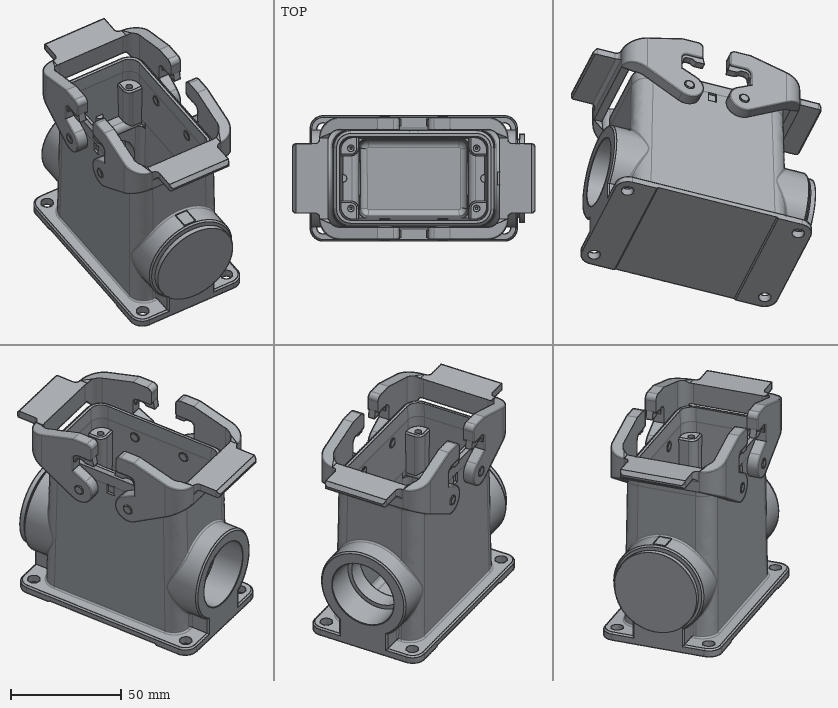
import cadquery as cq
import math

SIDES = (-1, 1)
PICK = 0.1

PLATE_LENGTH, PLATE_WIDTH, PLATE_HEIGHT = 94.0, 57.0, 3.8
PLATE_CORNER = 6.0
EDGE = 0.8
RELIEF_LENGTH, RELIEF_DEPTH = 58.5, 0.7
MOUNT_DIAMETER = 5.6
MOUNT_X, MOUNT_Y = 41.1, 22.3

WALL_FOOT = (37.7, 22.4)
WALL_TOP = (36.3, 21.7)
WALL_CORNER = 7.7
BAND_Z = 74.9
RIM_Z = 82.0
RIM_CHAMFER = 1.3
NOTCH_WIDTH, NOTCH_HEIGHT, NOTCH_DEPTH = 3.7, 4.8, 1.1

MOUTH = (33.7, 19.0)
MOUTH_AT_BAND = (33.2, 18.6)
LEDGE_OPENING = (32.1, 18.0)
MOUTH_CORNER = 5.5
LEDGE_Z = 49.5
LEDGE_ROUND = 3.1
POCKET_TOP = (24.9, 18.0)
POCKET_FLOOR = (24.0, 16.9)
POCKET_CORNER = 3.3
FLOOR_Z = 4.4
FLOOR_ROUND = 3.0
POST_X, POST_Y, POST_TOP_Z = 28.5, 13.6, 69.6
POST_RADIUS = 3.4
SCREW_DIAMETER, SCREW_DEPTH = 3.0, 8.8
DRILL_POINT = 1.0
RIB_RADIUS, RIB_TOP_Z = 1.8, 55.0

PORT_Z = 29.9
COLLAR_RADIUS = 22.0
WEB_WIDTH = 25.1
BORE_DIAMETER = 32.0
BORE_MOUTH_CHAMFER = 0.2
BORE_STEP_X = 32.5
THROAT_DIAMETER = 28.0
PAD_X, PAD_LENGTH, PAD_WIDTH, PAD_RISE = 42.0, 7.9, 5.9, 0.3

NECK_DIAMETER, NECK_LENGTH = 35.5, 1.0
FLANGE_DIAMETER, FLANGE_THICKNESS = 40.0, 2.3

PIVOT_X, PIVOT_Z = 13.2, 70.8
LEVER_REACH = 42.7
LEVER_OUTER_Y, LEVER_INNER_Y = 27.6, 22.2
BAR_THICKNESS = 3.7
BEND_OUTER, BEND_INNER = 9.2, 5.5
LEVER_EDGE = 0.4
EYE_RADIUS = 6.8
HOOK_TIP_X, HOOK_TOP_Z, HOOK_BOTTOM_Z = 6.5, 98.8, 89.8
HOOK_SLOPE_X = 16.4
HOOK_CORNER = 2.6
HOOK_LOWER_CORNER = 1.1
SLOT_X, SLOT_BOTTOM_Z, SLOT_CORNER = 16.6, 80.4, 2.8
EYE_TOP_ANGLE, EYE_BOTTOM_ANGLE = 60, 239
LIP_INNER_Y, LIP_OUTER_Y = 23.6, 26.8
LIP_SLOT_X, LIP_TIP_X = 15.8, 5.7
LIP_FOOT_Z, LIP_BEND_Z = 85.1, 86.1
LIP_ROOF_Z, LIP_ROOF_X, LIP_ROOF_CORNER = 88.1, 12.3, 2.0
LIP_NOSE_Z, LIP_NOSE_X = 86.8, 9.5
TAB_TIP_X, TAB_HALF_WIDTH, TAB_TOP_Z, TAB_BOTTOM_Z = 55.0, 15.7, 91.1, 87.5
TAB_NOSE_TOP_Z, TAB_NOSE_BOTTOM_Z = 89.1, 88.2
TAB_TOP_X, TAB_BOTTOM_X = 53.5, 54.3
TAB_CORNER, TAB_ROOT, TAB_UNDER = 1.6, 2.2, 1.8

PIN_DIAMETER, PIN_TIP_DIAMETER = 4.8, 4.0
PIN_OUTER_Y, PIN_INNER_Y = 28.0, 18.2
BOSS_DIAMETER = 7.0

PLATE_END = PLATE_LENGTH / 2
PIN_CHAMFER = (PIN_DIAMETER - PIN_TIP_DIAMETER) / 2


def rounded_prism(foot, top, z_foot, z_top, corner):
    """Solid between two rounded rectangles, given by half sizes, at two heights."""
    lower = cq.Sketch().rect(2 * foot[0], 2 * foot[1]).vertices().fillet(corner)
    upper = cq.Sketch().rect(2 * top[0], 2 * top[1]).vertices().fillet(corner)
    return (
        cq.Workplane("XY", origin=(0, 0, z_foot))
        .placeSketch(lower, upper.moved(cq.Location(cq.Vector(0, 0, z_top - z_foot))))
        .loft(ruled=True)
    )


def x_cylinder(diameter, x_start, x_end):
    """Cylinder on the cable entry axis."""
    return (
        cq.Workplane("YZ", origin=(x_start, 0, PORT_Z))
        .circle(diameter / 2)
        .extrude(x_end - x_start)
    )


def y_cylinder(x, diameter, y_start, y_end):
    """Cylinder on a lever pivot axis."""
    return (
        cq.Workplane("XZ", origin=(x, y_start, PIVOT_Z))
        .circle(diameter / 2)
        .extrude(y_start - y_end)
    )


def gathered(shapes):
    """One workplane that holds the solids of several."""
    return cq.Workplane().newObject([solid for shape in shapes for solid in shape.solids().vals()])


def four_corners(x, y):
    return [(sx * x, sy * y) for sx in SIDES for sy in SIDES]


def base_plate():
    plate = (
        cq.Workplane("XY")
        .box(PLATE_LENGTH, PLATE_WIDTH, PLATE_HEIGHT, centered=(True, True, False))
        .edges("|Z").fillet(PLATE_CORNER)
        .faces(">Z").edges().chamfer(EDGE)
    )
    relief = (
        cq.Workplane("XZ")
        .polyline([
            (-RELIEF_LENGTH / 2, 0),
            (-RELIEF_LENGTH / 2 + RELIEF_DEPTH, RELIEF_DEPTH),
            (RELIEF_LENGTH / 2 - RELIEF_DEPTH, RELIEF_DEPTH),
            (RELIEF_LENGTH / 2, 0),
        ])
        .close()
        .extrude(PLATE_WIDTH / 2, both=True)
    )
    return plate.cut(relief)


def outer_wall():
    drafted = rounded_prism(WALL_FOOT, WALL_TOP, RELIEF_DEPTH, BAND_Z, WALL_CORNER)
    band = rounded_prism(WALL_TOP, WALL_TOP, BAND_Z, RIM_Z, WALL_CORNER)
    return drafted.union(band.faces(">Z").edges().chamfer(RIM_CHAMFER))


def cable_collar(side):
    """Round collar and the web that carries it down to the plate."""
    depth = PLATE_END - LEDGE_OPENING[0] + LEDGE_ROUND
    plane = cq.Plane(origin=(side * (PLATE_END - depth), 0, 0), xDir=(0, side, 0), normal=(side, 0, 0))
    web_bottom = PLATE_HEIGHT - EDGE
    web = (
        cq.Workplane(plane)
        .center(0, (web_bottom + PORT_Z) / 2)
        .rect(WEB_WIDTH, PORT_Z - web_bottom)
        .extrude(depth)
    )
    collar = cq.Workplane(plane).center(0, PORT_Z).circle(COLLAR_RADIUS).extrude(depth)
    return (
        collar.union(web)
        .faces(">X" if side > 0 else "<X").edges("not <Z").chamfer(EDGE)
    )


def cavity():
    """Free space inside the wall: the mouth, the part above the ledges and the pocket."""
    mouth = rounded_prism(MOUTH_AT_BAND, MOUTH, BAND_Z, RIM_Z, MOUTH_CORNER)
    middle = rounded_prism(LEDGE_OPENING, MOUTH_AT_BAND, LEDGE_Z, BAND_Z, MOUTH_CORNER)
    pocket = (
        rounded_prism(POCKET_FLOOR, POCKET_TOP, FLOOR_Z, LEDGE_Z, POCKET_CORNER)
        .faces("<Z").edges().fillet(FLOOR_ROUND)
    )
    space = mouth.union(middle).union(pocket)
    for side in SIDES:
        space = space.union(ledge_rounding(side))
    return space


def ledge_rounding(side):
    """Space that rounds the inner edge of a ledge."""
    edge_x = POCKET_TOP[0]
    round_space = (
        cq.Workplane("XZ")
        .moveTo(edge_x + LEDGE_ROUND, LEDGE_Z)
        .radiusArc((edge_x, LEDGE_Z - LEDGE_ROUND), -LEDGE_ROUND)
        .lineTo(edge_x - LEDGE_ROUND, LEDGE_Z - LEDGE_ROUND)
        .lineTo(edge_x - LEDGE_ROUND, LEDGE_Z)
        .close()
        .extrude(POCKET_TOP[1], both=True)
    )
    return round_space if side > 0 else round_space.mirror("YZ")


def screw_post(x_side, y_side):
    """Corner post for a contact insert screw, merged into both walls."""
    bottom_z = LEDGE_Z - LEDGE_ROUND
    inner_x, inner_y = POST_X - POST_RADIUS, POST_Y - POST_RADIUS
    post = (
        cq.Workplane("XY", origin=(0, 0, bottom_z))
        .rect(MOUTH[0] + EDGE - inner_x, MOUTH[1] + EDGE - inner_y, centered=False)
        .extrude(POST_TOP_Z - bottom_z)
        .edges("|Z and <X and <Y").fillet(POST_RADIUS)
        .edges("|Z and >X and >Y").fillet(MOUTH_CORNER)
        .faces(">Z").edges().chamfer(EDGE)
        .translate((inner_x, inner_y, 0))
    )
    if x_side < 0:
        post = post.mirror("YZ")
    return post if y_side > 0 else post.mirror("XZ")


def blend_casting(body):
    """Blends the wall into the plate, the collars and their webs."""
    reach_x, reach_y = WALL_FOOT
    web_y = WEB_WIDTH / 2 + PICK
    low, high = PLATE_HEIGHT - PICK, PORT_Z + COLLAR_RADIUS + PICK
    foot_edges = cq.selectors.BoxSelector(
        (-reach_x, -reach_y, low), (reach_x, reach_y, PLATE_HEIGHT + PICK), boundingbox=True
    )
    collar_edges = cq.selectors.BoxSelector(
        (-reach_x, -reach_y, PLATE_HEIGHT + PICK), (reach_x, reach_y, high), boundingbox=True
    )
    web_edges = cq.selectors.BoxSelector((-reach_x, -web_y, low), (reach_x, web_y, high), boundingbox=True)
    return body.edges(foot_edges + collar_edges + web_edges).fillet(EDGE)


def pivot_bosses():
    """Spacer bosses between the wall and the lever eyes."""
    return gathered([
        y_cylinder(x * PIVOT_X, BOSS_DIAMETER, y * MOUTH[1], y * LEVER_INNER_Y)
        for x, y in four_corners(1, 1)
    ])


def pivot_holes():
    return gathered([
        y_cylinder(x * PIVOT_X, PIN_DIAMETER, y * PIN_INNER_Y, y * PIN_OUTER_Y)
        for x, y in four_corners(1, 1)
    ])


def wall_notches():
    """Recesses below the rim band in the middle of both long walls."""
    return (
        cq.Workplane("XY", origin=(0, 0, BAND_Z - NOTCH_HEIGHT / 2))
        .pushPoints([(0, side * WALL_TOP[1]) for side in SIDES])
        .box(NOTCH_WIDTH, 2 * NOTCH_DEPTH, NOTCH_HEIGHT)
    )


def ledge_ribs():
    """Half-round ribs standing on the ledges against the end walls."""
    return (
        cq.Workplane("XY", origin=(0, 0, LEDGE_Z))
        .pushPoints([(side * LEDGE_OPENING[0], 0) for side in SIDES])
        .circle(RIB_RADIUS)
        .extrude(RIB_TOP_Z - LEDGE_Z)
    )


def screw_holes():
    return (
        cq.Workplane("XY", origin=(0, 0, POST_TOP_Z - SCREW_DEPTH))
        .pushPoints(four_corners(POST_X, POST_Y))
        .circle(SCREW_DIAMETER / 2)
        .extrude(SCREW_DEPTH)
        .faces("<Z").edges().chamfer(DRILL_POINT)
    )


def mounting_holes():
    return (
        cq.Workplane("XY")
        .pushPoints(four_corners(MOUNT_X, MOUNT_Y))
        .circle(MOUNT_DIAMETER / 2)
        .extrude(PLATE_HEIGHT)
    )


def entry_bore(side):
    """Stepped bore from a collar into the pocket."""
    throat = x_cylinder(THROAT_DIAMETER, 0, side * PLATE_END)
    return throat.union(x_cylinder(BORE_DIAMETER, side * BORE_STEP_X, side * PLATE_END))


def bore_mouth_edge():
    """Picks the rim of the open bore on the -X end."""
    reach = BORE_DIAMETER / 2 + PICK
    return cq.selectors.BoxSelector(
        (-PLATE_END - PICK, -reach, PORT_Z - reach),
        (-PLATE_END + PICK, reach, PORT_Z + reach),
        boundingbox=True,
    )


def collar_pad():
    """Low flat pad on top of the +X collar."""
    return cq.Workplane(origin=(PAD_X, 0, PORT_Z + COLLAR_RADIUS)).box(PAD_LENGTH, PAD_WIDTH, 2 * PAD_RISE)


def make_housing():
    body = outer_wall().union(gathered([cable_collar(side) for side in SIDES])).union(base_plate())
    body = blend_casting(body)
    body = body.union(gathered([pivot_bosses(), collar_pad()]))
    body = body.cut(gathered([cavity(), wall_notches()]))
    body = body.union(gathered([screw_post(x, y) for x, y in four_corners(1, 1)] + [ledge_ribs()]))
    bores = [entry_bore(side) for side in SIDES]
    body = body.cut(gathered([screw_holes(), mounting_holes(), pivot_holes(), *bores]))
    return body.edges(bore_mouth_edge()).chamfer(BORE_MOUTH_CHAMFER)


def make_plug():
    flange_start = PLATE_END + NECK_LENGTH
    shank = x_cylinder(BORE_DIAMETER, BORE_STEP_X, PLATE_END)
    neck = x_cylinder(NECK_DIAMETER, PLATE_END, flange_start)
    flange = x_cylinder(FLANGE_DIAMETER, flange_start, flange_start + FLANGE_THICKNESS)
    return shank.union(neck).union(flange)


def eye_point(angle):
    return (
        -PIVOT_X + EYE_RADIUS * math.cos(math.radians(angle)),
        PIVOT_Z + EYE_RADIUS * math.sin(math.radians(angle)),
    )


TOP_SLOPE = (HOOK_TOP_Z - TAB_TOP_Z) / (LEVER_REACH - HOOK_SLOPE_X)
BOTTOM_SLOPE = math.tan(math.radians(270 - EYE_BOTTOM_ANGLE))
BAR_BOTTOM_Z = eye_point(EYE_BOTTOM_ANGLE)[1] + (LEVER_REACH + eye_point(EYE_BOTTOM_ANGLE)[0]) * BOTTOM_SLOPE


def bend_trim(bar_z, slope):
    """Space beyond the level edge of the cross bar, rising or falling with the arms in the bends."""
    bar_half = LEVER_OUTER_Y - BEND_OUTER
    arm_y = LEVER_INNER_Y
    bend_end_z = bar_z + slope * BEND_OUTER
    far_z = bar_z + math.copysign(HOOK_TOP_Z - PIVOT_Z, slope)
    return (
        cq.Workplane("YZ", origin=(-LEVER_REACH, 0, 0))
        .polyline([
            (-bar_half, bar_z), (bar_half, bar_z), (arm_y, bend_end_z),
            (arm_y, far_z), (-arm_y, far_z), (-arm_y, bend_end_z),
        ])
        .close()
        .extrude(BEND_OUTER)
    )


def lever_side_shape():
    """Side outline of the hook, the pivot eye and the arm, through the full width."""
    bottom_tangent = eye_point(EYE_BOTTOM_ANGLE)
    slab = (
        cq.Workplane("XZ")
        .moveTo(-LEVER_REACH, TAB_TOP_Z)
        .lineTo(-HOOK_SLOPE_X, HOOK_TOP_Z)
        .lineTo(-HOOK_TIP_X, HOOK_TOP_Z)
        .lineTo(-HOOK_TIP_X, HOOK_BOTTOM_Z)
        .lineTo(-SLOT_X, HOOK_BOTTOM_Z)
        .lineTo(-SLOT_X, SLOT_BOTTOM_Z)
        .lineTo(*eye_point(EYE_TOP_ANGLE))
        .threePointArc(eye_point((EYE_TOP_ANGLE + EYE_BOTTOM_ANGLE) / 2 - 180), bottom_tangent)
        .lineTo(-LEVER_REACH, BAR_BOTTOM_Z)
        .close()
        .extrude(LEVER_OUTER_Y, both=True)
    )

    def corner(x, z):
        return cq.selectors.BoxSelector(
            (-x - PICK, -LEVER_OUTER_Y - PICK, z - PICK), (-x + PICK, LEVER_OUTER_Y + PICK, z + PICK)
        )

    slab = slab.edges(corner(HOOK_TIP_X, HOOK_TOP_Z)).fillet(HOOK_CORNER)
    slab = slab.edges(corner(HOOK_TIP_X, HOOK_BOTTOM_Z)).fillet(HOOK_LOWER_CORNER)
    return slab.edges(corner(SLOT_X, HOOK_BOTTOM_Z)).fillet(SLOT_CORNER)


def lever_plan_shape():
    """U shape of the two arms and the cross bar, tall enough to be trimmed by the side outline."""
    outer = (
        cq.Workplane("XY")
        .rect(LEVER_REACH, 2 * LEVER_OUTER_Y)
        .extrude(HOOK_TOP_Z)
        .edges("|Z and <X").fillet(BEND_OUTER)
    )
    inner = (
        cq.Workplane("XY")
        .rect(LEVER_REACH, 2 * LEVER_INNER_Y)
        .extrude(HOOK_TOP_Z)
        .edges("|Z and <X").fillet(BEND_INNER)
        .translate((BAR_THICKNESS, 0, 0))
    )
    return outer.cut(inner).translate((-LEVER_REACH / 2, 0, 0))


def hook_lips():
    """Thin cam lips below the hooks, set back from both faces of each arm."""
    top_z = HOOK_BOTTOM_Z + HOOK_LOWER_CORNER
    buried_x = -SLOT_X - HOOK_LOWER_CORNER
    outline = (
        cq.Workplane("XZ")
        .moveTo(buried_x, LIP_FOOT_Z)
        .lineTo(-LIP_SLOT_X, LIP_FOOT_Z)
        .lineTo(-LIP_SLOT_X, LIP_BEND_Z)
        .radiusArc((-LIP_SLOT_X + LIP_ROOF_CORNER, LIP_ROOF_Z), LIP_ROOF_CORNER)
        .lineTo(-LIP_ROOF_X, LIP_ROOF_Z)
        .spline([(-LIP_NOSE_X, LIP_NOSE_Z)], tangents=[(1, 0), (1, 0)], includeCurrent=True)
        .lineTo(-LIP_TIP_X, LIP_NOSE_Z)
        .lineTo(-HOOK_TIP_X, top_z)
        .lineTo(buried_x, top_z)
        .close()
    )
    lip = outline.extrude(-(LIP_OUTER_Y - LIP_INNER_Y)).translate((0, LIP_INNER_Y, 0))
    return lip.union(lip.mirror("XZ"))


def handle_tab():
    """Flat grip that sticks out of the cross bar, with its nose and root blends."""
    nose = (
        cq.Workplane("XZ")
        .moveTo(-LEVER_REACH - TAB_UNDER, TAB_BOTTOM_Z)
        .lineTo(-TAB_BOTTOM_X, TAB_BOTTOM_Z)
        .lineTo(-TAB_TIP_X, TAB_NOSE_BOTTOM_Z)
        .lineTo(-TAB_TIP_X, TAB_NOSE_TOP_Z)
        .lineTo(-TAB_TOP_X, TAB_TOP_Z)
        .lineTo(-LEVER_REACH + LEVER_EDGE, TAB_TOP_Z)
        .lineTo(-LEVER_REACH + LEVER_EDGE, TAB_BOTTOM_Z - TAB_UNDER)
        .lineTo(-LEVER_REACH, TAB_BOTTOM_Z - TAB_UNDER)
        .radiusArc((-LEVER_REACH - TAB_UNDER, TAB_BOTTOM_Z), -TAB_UNDER)
        .close()
        .extrude(TAB_HALF_WIDTH + TAB_ROOT, both=True)
    )
    half = TAB_HALF_WIDTH
    root_x = -LEVER_REACH - TAB_ROOT
    plan = (
        cq.Workplane("XY", origin=(0, 0, TAB_BOTTOM_Z - TAB_UNDER))
        .moveTo(-LEVER_REACH, -half - TAB_ROOT)
        .radiusArc((root_x, -half), -TAB_ROOT)
        .lineTo(-TAB_TIP_X + TAB_CORNER, -half)
        .radiusArc((-TAB_TIP_X, -half + TAB_CORNER), TAB_CORNER)
        .lineTo(-TAB_TIP_X, half - TAB_CORNER)
        .radiusArc((-TAB_TIP_X + TAB_CORNER, half), TAB_CORNER)
        .lineTo(root_x, half)
        .radiusArc((-LEVER_REACH, half + TAB_ROOT), -TAB_ROOT)
        .lineTo(-LEVER_REACH + LEVER_EDGE, half + TAB_ROOT)
        .lineTo(-LEVER_REACH + LEVER_EDGE, -half - TAB_ROOT)
        .close()
        .extrude(TAB_TOP_Z - TAB_BOTTOM_Z + TAB_UNDER)
    )
    return nose.intersect(plan)


def pivot_pin(y_side):
    pin = y_cylinder(-PIVOT_X, PIN_DIAMETER, PIN_INNER_Y, PIN_OUTER_Y).faces("<Y or >Y").chamfer(PIN_CHAMFER)
    return pin if y_side > 0 else pin.mirror("XZ")


def make_lever(side):
    lever = lever_plan_shape().intersect(lever_side_shape())
    lever = lever.cut(bend_trim(TAB_TOP_Z, TOP_SLOPE)).cut(bend_trim(BAR_BOTTOM_Z, -BOTTOM_SLOPE))
    lever = lever.faces("<Y or >Y").edges().fillet(LEVER_EDGE)
    pins = [pivot_pin(y_side) for y_side in SIDES]
    lever = lever.union(gathered([hook_lips(), handle_tab(), *pins]))
    return lever if side < 0 else lever.mirror("YZ")


housing = make_housing()
plug = make_plug()
levers = [make_lever(side) for side in SIDES]

result = cq.Compound.makeCompound([housing.val(), plug.val(), *[lever.val() for lever in levers]])